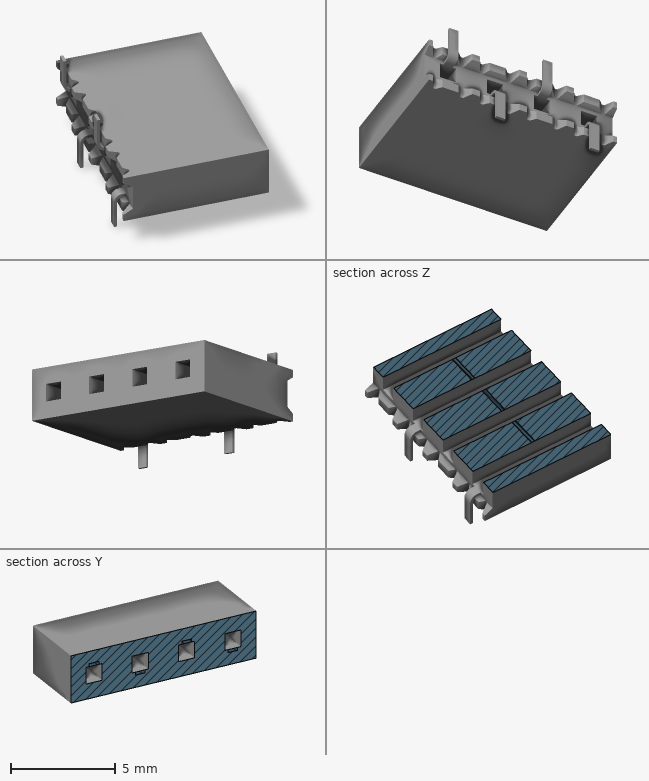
import cadquery as cq

positions = 4
pitch = 2.54
housing_length = positions * pitch
housing_height = 2.54
housing_depth = 6.88
half_height = housing_height / 2
hole_size = 0.86
half_hole = hole_size / 2
hole_centres = [(position + 0.5) * pitch - housing_length / 2 for position in range(positions)]

tooth_base_inner_z = 0.65
wide_tooth_base = 1.35
wide_tooth_tip = hole_size
wide_tooth_tip_inner_z = 0.8
wide_tooth_reach = 0.26
long_tooth_base = 0.93
long_tooth_tip = 0.41
long_tooth_tip_inner_z = 0.9
long_tooth_reach = 0.47

contact_width = 0.5
contact_thickness = 0.15
bend_outer_radius = 0.41
contact_tip_z = 2.29
contact_front_y = -0.61

carrier_thickness = contact_thickness
carrier_y = housing_depth / 2


def make_block(x_min, x_max, y_min, y_max, z_min, z_max):
    """Return a box given by its limits along each axis."""
    size = (x_max - x_min, y_max - y_min, z_max - z_min)
    return cq.Workplane("XY").box(*size, centered=False).translate((x_min, y_min, z_min))


def make_holes():
    """Return the square through holes as one cutter."""
    points = [(x, 0) for x in hole_centres]
    return cq.Workplane("XZ").pushPoints(points).rect(hole_size, hole_size).extrude(-housing_depth)


def flip_to_side(body, side):
    """Keep a body made on the top side (+1), or mirror it to the bottom side (-1)."""
    return body if side > 0 else body.mirror("XY")


def make_tooth(x, side, base_width, tip_width, tip_inner_z, reach):
    """Return a tooth that tapers from the contact face to its tip, with a flush outer side."""
    base_height = half_height - tooth_base_inner_z
    tip_height = half_height - tip_inner_z
    tooth = (
        cq.Workplane("XZ", origin=(x, 0, half_height))
        .center(0, -base_height / 2)
        .rect(base_width, base_height)
        .workplane(offset=reach)
        .center(0, (base_height - tip_height) / 2)
        .rect(tip_width, tip_height)
        .loft(ruled=True)
    )
    return flip_to_side(tooth, side)


def make_housing():
    """Return the block with its teeth and through holes, before the contacts are let in."""
    half_length = housing_length / 2
    housing = make_block(-half_length, half_length, 0, housing_depth, -half_height, half_height)
    for side in (1, -1):
        for x in hole_centres:
            housing = housing.union(
                make_tooth(x, side, wide_tooth_base, wide_tooth_tip, wide_tooth_tip_inner_z, wide_tooth_reach)
            )
        for boundary in range(positions + 1):
            x = boundary * pitch - half_length
            housing = housing.union(
                make_tooth(x, side, long_tooth_base, long_tooth_tip, long_tooth_tip_inner_z, long_tooth_reach)
            )
    envelope = make_block(
        -half_length, half_length, -long_tooth_reach, housing_depth, -half_height, half_height
    )
    return housing.intersect(envelope).cut(make_holes())


def make_strip(x, side):
    """Return one bent strip: a straight run along the hole wall, a bend and a leg."""
    strip = (
        cq.Workplane("YZ", origin=(x - contact_width / 2, 0, 0))
        .moveTo(housing_depth, half_hole)
        .lineTo(contact_front_y + bend_outer_radius, half_hole)
        .radiusArc((contact_front_y, half_hole + bend_outer_radius), bend_outer_radius)
        .lineTo(contact_front_y, contact_tip_z)
        .lineTo(contact_front_y + contact_thickness, contact_tip_z)
        .lineTo(contact_front_y + contact_thickness, half_hole + bend_outer_radius)
        .radiusArc(
            (contact_front_y + bend_outer_radius, half_hole + contact_thickness),
            contact_thickness - bend_outer_radius,
        )
        .lineTo(housing_depth, half_hole + contact_thickness)
        .close()
        .extrude(contact_width)
    )
    return flip_to_side(strip, side)


def make_carrier():
    """Return the plate that links the strips, opened where the holes pass through it."""
    half_span = hole_centres[-1] + contact_width / 2
    half_rise = half_hole + contact_thickness
    carrier = make_block(
        -half_span, half_span, carrier_y, carrier_y + carrier_thickness, -half_rise, half_rise
    )
    return carrier.cut(make_holes())


def make_contact_set():
    """Return the strips, alternating between top and bottom, joined by the carrier."""
    contact_set = make_carrier()
    for position, x in enumerate(hole_centres):
        side = 1 if position % 2 == 0 else -1
        contact_set = contact_set.union(make_strip(x, side))
    return contact_set


contact_set = make_contact_set()
housing = make_housing().cut(contact_set)

result = cq.Compound.makeCompound([housing.solids().val(), contact_set.solids().val()])